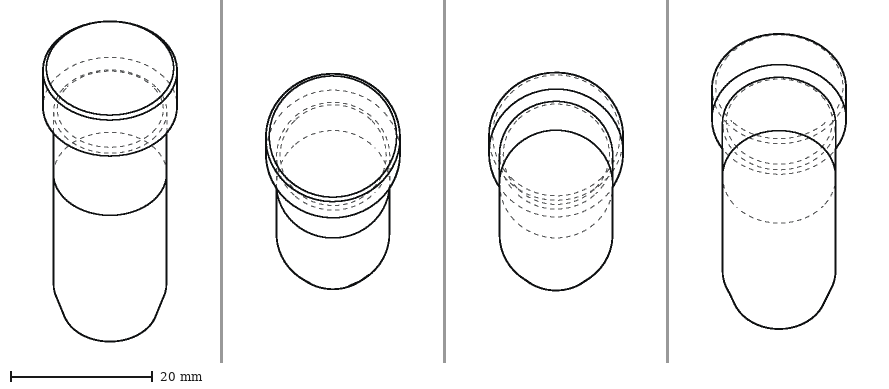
import cadquery as cq
import math

total_height = 50.0
shank_radius = 8.0
joint_height = 28.0

head_radius = 9.5
head_height = 8.0
head_chamfer = 0.5
groove_width = 1.0
groove_depth = 0.5

taper_height = 5.0
taper_angle = 15.0
tip_round = 0.5

head_bottom = total_height - head_height
groove_bottom = head_bottom - groove_width
groove_radius = groove_width / 2
groove_floor_radius = shank_radius - groove_depth
tip_radius = shank_radius - taper_height * math.tan(math.radians(taper_angle))


def make_head_piece():
    """Chamfered head on a plain shank, with a round undercut below the head."""
    profile = (
        cq.Workplane("XZ")
        .moveTo(0, joint_height)
        .lineTo(shank_radius, joint_height)
        .lineTo(shank_radius, groove_bottom)
        .threePointArc(
            (groove_floor_radius, groove_bottom + groove_radius),
            (shank_radius, head_bottom),
        )
        .lineTo(head_radius, head_bottom)
        .lineTo(head_radius, total_height - head_chamfer)
        .lineTo(head_radius - head_chamfer, total_height)
        .lineTo(0, total_height)
        .close()
    )
    return profile.revolve(360, (0, 0, 0), (0, 1, 0))


def make_tip_piece():
    """Shank that tapers to a rounded lower end."""
    profile = (
        cq.Workplane("XZ")
        .lineTo(tip_radius, 0)
        .lineTo(shank_radius, taper_height)
        .lineTo(shank_radius, joint_height)
        .lineTo(0, joint_height)
        .close()
    )
    tip = profile.revolve(360, (0, 0, 0), (0, 1, 0))
    return tip.faces("<Z").edges().fillet(tip_round)


head_piece = make_head_piece()
tip_piece = make_tip_piece()
result = cq.Compound.makeCompound([head_piece.val(), tip_piece.val()])